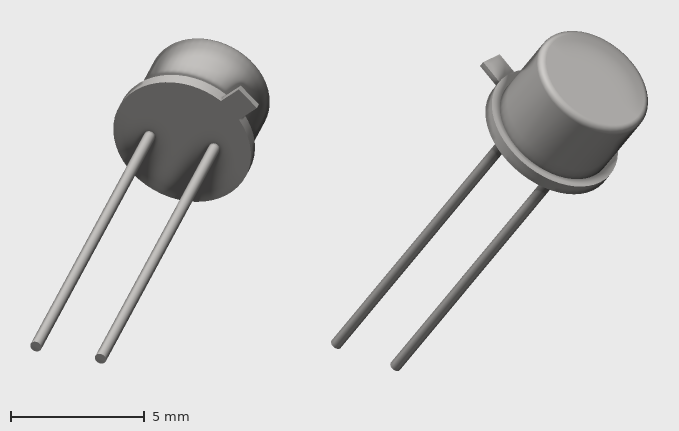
import cadquery as cq

total_length = 17.6
package_height = 3.59

header_diameter = 5.4
header_thickness = 0.5
tab_width = 1.0
tab_reach = 3.65
tab_thickness = header_thickness / 2
tab_angle = 45.0

can_diameter = 4.72
can_height = package_height - header_thickness
can_edge_radius = 0.25

lead_diameter = 0.44
lead_pitch = 2.53
lead_length = total_length - package_height


def cylinder_along_y(diameter, start_y, length, center_x=0.0):
    """Solid cylinder running from start_y towards +Y."""
    start = cq.Vector(center_x, start_y, 0)
    return cq.Workplane(cq.Solid.makeCylinder(diameter / 2, length, start, cq.Vector(0, 1, 0)))


def make_tab():
    """Radial tab, flush with the lead side of the header disc."""
    tab = cq.Workplane("XY").box(tab_reach, tab_thickness, tab_width, centered=(False, False, True))
    return tab.rotate((0, 0, 0), (0, 1, 0), -tab_angle)


def make_header():
    """Disc, tab and leads as one solid, with the lead side of the disc at Y = 0."""
    header = cylinder_along_y(header_diameter, 0, header_thickness)
    header = header.union(make_tab())
    for side in (-1, 1):
        lead = cylinder_along_y(lead_diameter, -lead_length, lead_length, side * lead_pitch / 2)
        header = header.union(lead)
    return header


def make_can():
    """Can seated on the header disc, with a rounded edge at its closed end."""
    can = cylinder_along_y(can_diameter, header_thickness, can_height)
    return can.faces(">Y").edges().fillet(can_edge_radius)


header = make_header()
can = make_can()

result = cq.Compound.makeCompound([header.solids().val(), can.solids().val()])